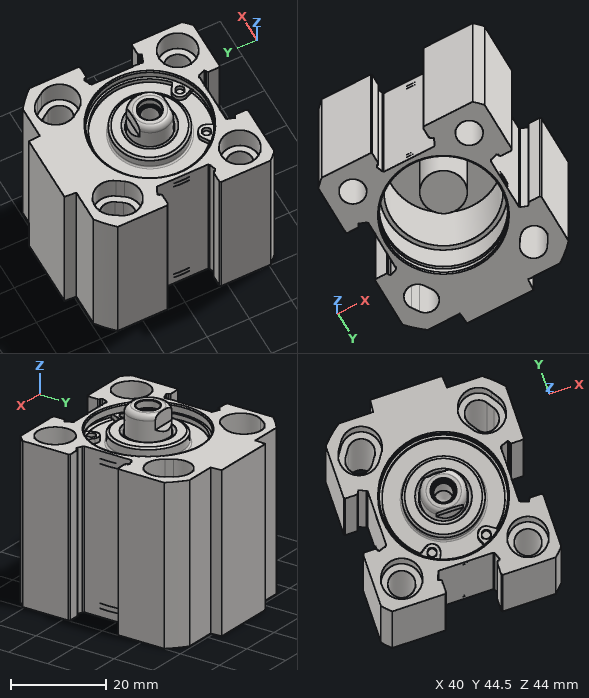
import cadquery as cq
import math

body_height = 38.5
body_width = 40.0
half_width = body_width / 2
back_y = 21.8
corner_radius = 27.0
corner_reach = math.sqrt(corner_radius**2 - half_width**2)
back_corner_x = math.sqrt(corner_radius**2 - back_y**2)

pad_y = 24.5
pad_top_half_width = 8.0
pad_root_half_width = 8.2

slot_half_width = 6.1
slot_lip_depth = 3.2
side_slot_depth = 5.25
front_slot_depth = 5.15
slot_undercut_half_width = 6.85
slot_floor_half_width = 6.3
slot_lip_chamfer = 0.3
slot_corner_chamfer = 0.25

mount_offset = 14.0
mount_hole_diameter = 5.8
mount_recess_diameter = 8.8
mount_recess_depth = 5.7
hole_stretch_x = 1.0
hole_stretch_y = 1.5

bore_diameter = 25.0
mouth_diameter = 27.0
mouth_chamfer = 0.3
groove_diameter = 29.3
groove_width = 1.2
groove_inset = 1.9
cover_thickness = 8.0
mouth_depth = groove_inset + groove_width + cover_thickness

ring_outer_diameter = 28.4
ring_inner_diameter = 25.85
ring_gap_half_angle = 22.0
ear_x = 6.0
ear_y = -10.3
ear_radius = 1.8
ear_hole_diameter = 2.0
ear_root_x = 8.55
ear_root_y = -9.85

cover_face_z = body_height - groove_inset - groove_width
boss_diameter = 17.5
boss_top_z = body_height - 0.4
boss_chamfer_width = 0.6
boss_chamfer_height = 0.4
boss_foot_fillet = 0.4
wiper_diameter = 11.4
wiper_cone_depth = 0.3
wiper_depth = 2.0
wiper_chamfer_width = 0.3
wiper_chamfer_height = 0.1
wiper_inner_diameter = 10.48

rod_diameter = 10.0
rod_top_z = 44.0
rod_bottom_z = mouth_depth
rod_top_fillet = 1.3
flat_width = 8.0
flat_depth = (rod_diameter - flat_width) / 2
flat_bottom_z = body_height + 2.0
thread_core_diameter = 4.13
thread_relief_diameter = 5.25
thread_rim_chamfer = 0.15
thread_relief_depth = 1.8
relief_chamfer = 0.25
relief_floor_slope = 0.1
thread_hole_depth = 10.0
drill_point_angle = 118.0
drill_tip_height = thread_core_diameter / 2 / math.tan(math.radians(drill_point_angle / 2))


def disc(diameter, bottom_z, top_z):
    return cq.Workplane("XY").workplane(offset=bottom_z).circle(diameter / 2).extrude(top_z - bottom_z)


def revolve_profile(radius_height_points):
    profile = cq.Workplane("XZ").polyline(radius_height_points).close()
    return profile.revolve(360, (0, 0, 0), (0, 1, 0))


def housing_block():
    mid_angle_back = (math.atan2(back_y, back_corner_x) + math.atan2(corner_reach, half_width)) / 2
    back_mid_x = corner_radius * math.cos(mid_angle_back)
    back_mid_y = corner_radius * math.sin(mid_angle_back)
    front_mid = corner_radius * math.sqrt(0.5)
    outline = (
        cq.Workplane("XY")
        .moveTo(-corner_reach, -half_width)
        .lineTo(corner_reach, -half_width)
        .threePointArc((front_mid, -front_mid), (half_width, -corner_reach))
        .lineTo(half_width, corner_reach)
        .threePointArc((back_mid_x, back_mid_y), (back_corner_x, back_y))
        .lineTo(pad_root_half_width, back_y)
        .lineTo(pad_top_half_width, pad_y)
        .lineTo(-pad_top_half_width, pad_y)
        .lineTo(-pad_root_half_width, back_y)
        .lineTo(-back_corner_x, back_y)
        .threePointArc((-back_mid_x, back_mid_y), (-half_width, corner_reach))
        .lineTo(-half_width, -corner_reach)
        .threePointArc((-front_mid, -front_mid), (-corner_reach, -half_width))
        .close()
    )
    return outline.extrude(body_height)


def sensor_slot(depth):
    """Undercut slot in the front face, as a cutter over the full height."""
    lip_y = -half_width + slot_lip_depth
    floor_y = -half_width + depth
    right_side = [
        (slot_half_width + slot_lip_chamfer, -half_width),
        (slot_half_width, -half_width + slot_lip_chamfer),
        (slot_half_width, lip_y - slot_lip_chamfer),
        (slot_half_width + slot_lip_chamfer, lip_y),
        (slot_undercut_half_width - slot_corner_chamfer, lip_y),
        (slot_undercut_half_width, lip_y + slot_corner_chamfer),
        (slot_floor_half_width, floor_y - slot_corner_chamfer),
        (slot_floor_half_width - slot_corner_chamfer, floor_y),
    ]
    left_side = [(-x, y) for x, y in reversed(right_side)]
    return cq.Workplane("XY").polyline(right_side + left_side).close().extrude(body_height)


def round_mount_hole(side):
    """Front counterbored hole, as a cutter."""
    centre = (side * mount_offset, -mount_offset)
    recess_floor = body_height - mount_recess_depth
    hole = disc(mount_hole_diameter, 0, body_height)
    recess = disc(mount_recess_diameter, recess_floor, body_height)
    return hole.union(recess).translate((*centre, 0))


def slotted_mount_hole(side):
    """Back hole stretched from the mounting point towards the middle of the back face, as a cutter."""
    length = math.hypot(hole_stretch_x, hole_stretch_y)
    angle = math.degrees(math.atan2(hole_stretch_y, -side * hole_stretch_x))
    centre = (
        side * (mount_offset - hole_stretch_x / 2),
        mount_offset + hole_stretch_y / 2,
    )

    def slot(diameter, bottom_z):
        sketch = cq.Workplane("XY").workplane(offset=bottom_z).center(*centre)
        return sketch.slot2D(length + diameter, diameter, angle).extrude(body_height - bottom_z)

    return slot(mount_hole_diameter, 0).union(slot(mount_recess_diameter, body_height - mount_recess_depth))


def bore_mouth():
    """Chamfered mouth with its ring groove at the top end of the bore, as a cutter."""
    radius = mouth_diameter / 2
    groove_top = body_height - groove_inset
    seat_z = body_height - mouth_depth
    return revolve_profile([
        (0, seat_z),
        (radius, seat_z),
        (radius, groove_top - groove_width),
        (groove_diameter / 2, groove_top - groove_width),
        (groove_diameter / 2, groove_top),
        (radius, groove_top),
        (radius, body_height - mouth_chamfer),
        (radius + mouth_chamfer, body_height),
        (0, body_height),
    ])


def make_housing():
    housing = housing_block()
    for turn, depth in ((-90, side_slot_depth), (0, front_slot_depth), (90, side_slot_depth)):
        housing = housing.cut(sensor_slot(depth).rotate((0, 0, 0), (0, 0, 1), turn))
    for side in (-1, 1):
        housing = housing.cut(round_mount_hole(side)).cut(slotted_mount_hole(side))
    housing = housing.cut(disc(bore_diameter, 0, body_height))
    mid_height = (0, 0, body_height / 2)
    housing = housing.cut(bore_mouth())
    return housing.cut(bore_mouth().mirror("XY", mid_height))


def make_cover():
    boss_radius = boss_diameter / 2
    cover = disc(mouth_diameter, cover_face_z - cover_thickness, cover_face_z)
    fillet_centre_r = boss_radius + boss_foot_fillet
    fillet_centre_z = cover_face_z + boss_foot_fillet
    fillet_reach = boss_foot_fillet * math.sqrt(0.5)
    boss = (
        cq.Workplane("XZ")
        .moveTo(0, cover_face_z)
        .lineTo(fillet_centre_r, cover_face_z)
        .threePointArc(
            (fillet_centre_r - fillet_reach, fillet_centre_z - fillet_reach),
            (boss_radius, fillet_centre_z),
        )
        .lineTo(boss_radius, boss_top_z - boss_chamfer_height)
        .lineTo(boss_radius - boss_chamfer_width, boss_top_z)
        .lineTo(0, boss_top_z)
        .close()
        .revolve(360, (0, 0, 0), (0, 1, 0))
    )
    rod_radius = rod_diameter / 2
    wiper_radius = wiper_diameter / 2
    wiper_z = boss_top_z - wiper_depth
    rod_passage = revolve_profile([
        (0, cover_face_z - cover_thickness),
        (rod_radius, cover_face_z - cover_thickness),
        (rod_radius, wiper_z),
        (wiper_inner_diameter / 2, wiper_z),
        (wiper_inner_diameter / 2, boss_top_z - wiper_cone_depth),
        (wiper_radius, boss_top_z - wiper_chamfer_height),
        (wiper_radius + wiper_chamfer_width, boss_top_z),
        (0, boss_top_z),
    ])
    return cover.union(boss).cut(rod_passage)


def make_ring():
    ring_bottom = cover_face_z
    ring_top = ring_bottom + groove_width
    ring = disc(ring_outer_diameter, ring_bottom, ring_top)
    ring = ring.cut(disc(ring_inner_diameter, ring_bottom, ring_top))
    gap_y = -ring_outer_diameter
    gap_half_width = ring_outer_diameter * math.tan(math.radians(ring_gap_half_angle))
    gap = cq.Workplane("XY").workplane(offset=ring_bottom).polyline([
        (0, 0),
        (gap_half_width, gap_y),
        (-gap_half_width, gap_y),
    ]).close().extrude(groove_width)
    ring = ring.cut(gap)
    for side in (-1, 1):
        ring = ring.union(ring_ear(side, ring_bottom)).cut(
            disc(ear_hole_diameter, ring_bottom, ring_top).translate((side * ear_x, ear_y, 0))
        )
    return ring


def ring_ear(side, bottom_z):
    """Round ear with straight flanks, one along the ring gap and one to the ring's inner edge."""
    gap_angle = math.radians(ring_gap_half_angle)
    end_radius = (ring_inner_diameter + ring_outer_diameter) / 4
    gap_end = (end_radius * math.sin(gap_angle), -end_radius * math.cos(gap_angle))
    gap_tangent = (ear_x - ear_radius * math.cos(gap_angle), ear_y - ear_radius * math.sin(gap_angle))
    root_angle = math.atan2(ear_root_y - ear_y, ear_root_x - ear_x)
    root_distance = math.hypot(ear_root_x - ear_x, ear_root_y - ear_y)
    tangent_angle = root_angle + math.acos(ear_radius / root_distance)
    root_tangent = (
        ear_x + ear_radius * math.cos(tangent_angle),
        ear_y + ear_radius * math.sin(tangent_angle),
    )
    corners = [gap_tangent, gap_end, (ear_root_x, ear_root_y), root_tangent]
    web = (
        cq.Workplane("XY")
        .workplane(offset=bottom_z)
        .polyline([(side * x, y) for x, y in corners])
        .close()
        .extrude(groove_width)
    )
    ear = disc(2 * ear_radius, bottom_z, bottom_z + groove_width).translate((side * ear_x, ear_y, 0))
    return ear.union(web)


def wrench_flat():
    """Flat on the front of the rod with a 45 degree run-out, as a cutter."""
    flat_y = -flat_width / 2
    edge_y = -rod_diameter / 2
    profile = cq.Workplane("YZ").polyline([
        (flat_y, rod_top_z),
        (flat_y, flat_bottom_z),
        (edge_y, flat_bottom_z - flat_depth),
        (edge_y, rod_top_z),
    ]).close()
    return profile.extrude(rod_diameter / 2, both=True)


def make_rod():
    rod = disc(rod_diameter, rod_bottom_z, rod_top_z).faces(">Z").edges().fillet(rod_top_fillet)
    for turn in (0, 180):
        rod = rod.cut(wrench_flat().rotate((0, 0, 0), (0, 0, 1), turn))
    relief_z = rod_top_z - thread_relief_depth
    hole_floor_z = rod_top_z - thread_hole_depth
    threaded_hole = revolve_profile([
        (0, hole_floor_z - drill_tip_height),
        (thread_core_diameter / 2, hole_floor_z),
        (thread_core_diameter / 2, relief_z - relief_chamfer - relief_floor_slope),
        (thread_relief_diameter / 2 - relief_chamfer, relief_z - relief_chamfer),
        (thread_relief_diameter / 2, relief_z),
        (thread_relief_diameter / 2, rod_top_z - thread_rim_chamfer),
        (thread_relief_diameter / 2 + thread_rim_chamfer, rod_top_z),
        (0, rod_top_z),
    ])
    return rod.cut(threaded_hole)


housing = make_housing()
cover = make_cover()
ring = make_ring()
rod = make_rod()
result = cq.Compound.makeCompound([housing.val(), cover.val(), ring.val(), rod.val()])